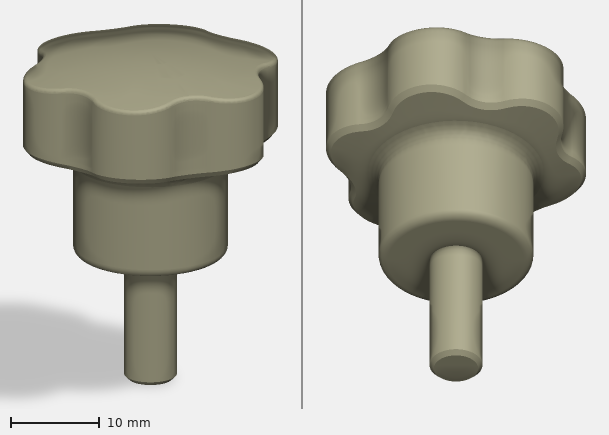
import cadquery as cq
import math

STUD_DIAMETER = 6.0
STUD_LENGTH = 15.0
STUD_CHAMFER = 0.5

HUB_DIAMETER = 17.5
HUB_EDGE_FILLET = 1.0
HUB_TO_HEAD_FILLET = 1.5

TOTAL_HEIGHT = 39.0
LOBE_COUNT = 6
HEAD_RADIUS = 15.0
LOBE_RADIUS = 5.3
VALLEY_RADIUS = 4.5
DOME_RADIUS = 60.0
RIM_FILLET = 0.5
UNDERSIDE_CHAMFER = 0.55
UNDERSIDE_HUB_Z = 27.15
UNDERSIDE_SLOPE = 12.0

LOBE_PITCH = 360.0 / LOBE_COUNT
LOBE_CENTRE = HEAD_RADIUS - LOBE_RADIUS
JOINT_BAND = 0.1
BLANK_MARGIN = 1.0
BLANK_RADIUS = HEAD_RADIUS + BLANK_MARGIN


def polar(radius, angle):
    """Point at a radius and an angle in degrees."""
    a = math.radians(angle)
    return (radius * math.cos(a), radius * math.sin(a))


def lobed_outline():
    """Closed outline of lobe arcs joined by tangent valley arcs, one lobe on +Y."""
    half_pitch = math.radians(LOBE_PITCH / 2)
    centre_gap = LOBE_RADIUS + VALLEY_RADIUS
    across = LOBE_CENTRE * math.sin(half_pitch)
    valley_centre = LOBE_CENTRE * math.cos(half_pitch) + math.sqrt(centre_gap**2 - across**2)
    valley_floor = valley_centre - VALLEY_RADIUS

    share = LOBE_RADIUS / centre_gap
    joint_x = LOBE_CENTRE + share * (valley_centre * math.cos(half_pitch) - LOBE_CENTRE)
    joint_y = share * valley_centre * math.sin(half_pitch)
    joint_radius = math.hypot(joint_x, joint_y)
    joint_angle = math.degrees(math.atan2(joint_y, joint_x))

    outline = cq.Workplane("XY").moveTo(*polar(joint_radius, 90 - joint_angle))
    for i in range(LOBE_COUNT):
        lobe = 90 + i * LOBE_PITCH
        next_lobe = lobe + LOBE_PITCH
        outline = outline.threePointArc(polar(HEAD_RADIUS, lobe), polar(joint_radius, lobe + joint_angle))
        outline = outline.threePointArc(
            polar(valley_floor, lobe + LOBE_PITCH / 2), polar(joint_radius, next_lobe - joint_angle)
        )
    return outline.close()


def dome_height(radius):
    """Height of the spherical dome at a distance from the axis."""
    return TOTAL_HEIGHT - DOME_RADIUS + math.sqrt(DOME_RADIUS**2 - radius**2)


def make_head():
    """Domed disc with a conical underside, trimmed to the lobed outline."""
    dome_edge_z = dome_height(BLANK_RADIUS)
    mid_radius = BLANK_RADIUS / 2
    hub_radius = HUB_DIAMETER / 2
    rise = (BLANK_RADIUS - hub_radius) * math.tan(math.radians(UNDERSIDE_SLOPE))

    blank = (
        cq.Workplane("XZ")
        .moveTo(0, UNDERSIDE_HUB_Z)
        .lineTo(hub_radius, UNDERSIDE_HUB_Z)
        .lineTo(BLANK_RADIUS, UNDERSIDE_HUB_Z + rise)
        .lineTo(BLANK_RADIUS, dome_edge_z)
        .threePointArc((mid_radius, dome_height(mid_radius)), (0, TOTAL_HEIGHT))
        .close()
        .revolve(360, (0, 0), (0, 1))
    )
    return blank.intersect(lobed_outline().extrude(TOTAL_HEIGHT))


def make_hub():
    """Cylinder between stud and head, rounded at its lower edge."""
    hub = (
        cq.Workplane("XY")
        .workplane(offset=STUD_LENGTH)
        .circle(HUB_DIAMETER / 2)
        .extrude(UNDERSIDE_HUB_Z - STUD_LENGTH)
    )
    return hub.faces("<Z").edges().fillet(HUB_EDGE_FILLET)


def make_stud():
    """Plain stud with a chamfered free end."""
    stud = cq.Workplane("XY").circle(STUD_DIAMETER / 2).extrude(STUD_LENGTH)
    return stud.faces("<Z").edges().chamfer(STUD_CHAMFER)


def make_handle():
    """Head and hub with the rim, underside and hub joint finished."""
    head = make_head()
    head = head.faces(">Z").edges().fillet(RIM_FILLET)
    head = head.faces("%CONE").edges("not %CIRCLE").chamfer(UNDERSIDE_CHAMFER)
    handle = head.union(make_hub())
    joint = cq.selectors.BoxSelector(
        (-HUB_DIAMETER, -HUB_DIAMETER, UNDERSIDE_HUB_Z - JOINT_BAND),
        (HUB_DIAMETER, HUB_DIAMETER, UNDERSIDE_HUB_Z + JOINT_BAND),
    )
    return handle.edges(joint).fillet(HUB_TO_HEAD_FILLET)


result = make_handle().union(make_stud())